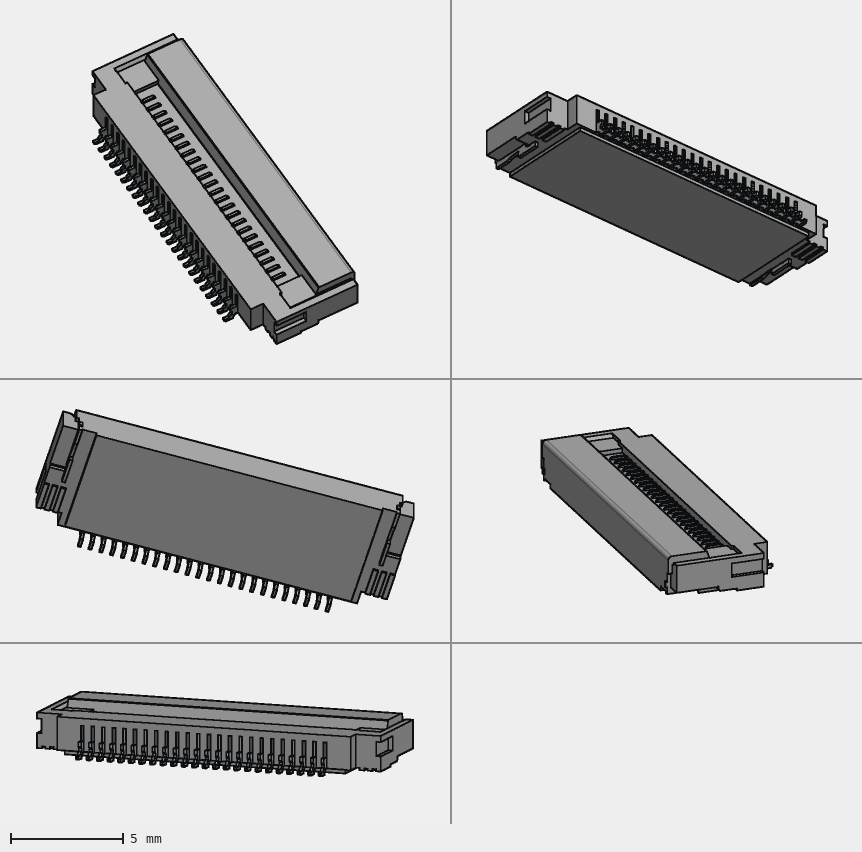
import cadquery as cq


length = 16.3
half_length = length / 2
top_z = 1.76
bottom_z = 0.25
front_y = 0.7
front_half_length = 6.96
ear_front_y = 1.34
ear_back_y = 5.51
rear_y = 5.69

plate_half_length = 6.65
plate_front_y = 0.83
plate_bottom_z = 0.05

opening_front_y = 2.36
corner_front_y = 2.27
corner_inner_x = 6.83
opening_top_half = 7.79
opening_floor_half = 7.65
block_top_z = 1.6
trough_half_length = 6.32
trough_floor_z = 1.39

recess_depth = 0.21
recess_back_y = 2.87
recess_bottom_z = 0.83
recess_top_z = 1.48
relief_front_y = 3.5
relief_top_z = 0.45
relief_bevel = 0.08
foot_width = 0.23
foot_pitch = 0.39
feet_per_ear = 3
foot_back_y = 2.6
foot_bottom_z = 0.15

flap_half_length = 7.58
flap_bottom_z = 1.17
flap_top_z = 2.0
flap_front_y = 3.86
flap_toe_y = 3.63
toe_height = 0.05
edge_break = 0.03
flap_rear_radius = 0.18

clip_inner_x = 7.3
clip_thickness = 0.15
clip_front_y = 3.63
clip_corner_radius = 0.1
clip_heel_z = 0.16
nub_back_y = 5.75
nub_bottom_z = 0.49
nub_top_z = 0.75
hollow_back_y = 4.94
hollow_bend_y = 4.65
hollow_bend_z = 0.26
hollow_top_z = 0.3
solder_foot_back_y = 4.17
solder_foot_front_y = 3.0

contact_count = 24
row_length = 11.5
contact_pitch = row_length / (contact_count - 1)
contact_width = 0.13
finger_back_y = 3.16
finger_height = 0.1
finger_bevel = 0.08
finger_crest_y = 2.56
finger_dip_y = 2.46
finger_dip = 0.05
stub_top_z = 1.43
stub_projection = 0.05
lead_top_z = 0.75
lead_shoulder_y = 0.35
lead_shoulder_z = 0.54
lead_shoulder_bevel = 0.08
lead_neck_y = 0.42
lead_inner_radius = 0.16
lead_thickness = 0.16
lead_tip_bevel = 0.08
lead_heel_y = 0.45
lead_back_y = 0.62
lead_outer_radius = 0.25


def box(x0, x1, y0, y1, z0, z1):
    """Block between two opposite corners."""
    return cq.Workplane("XY").box(x1 - x0, y1 - y0, z1 - z0, centered=False).translate((x0, y0, z0))


def centred_box(half_x, y0, y1, z0, z1):
    """Block that is symmetric about X = 0."""
    return box(-half_x, half_x, y0, y1, z0, z1)


def both_ends(solid):
    """The solid together with its mirror image at the other end."""
    return solid.union(solid.mirror("YZ"))


def extrude_side(profile, x0, width):
    """Extrude a closed YZ profile along X, starting at x0."""
    return profile.extrude(width).translate((x0, 0, 0))


def make_housing():
    """Solid housing with end ears, a rear step and an underside plate."""
    body = centred_box(half_length, ear_front_y, ear_back_y, bottom_z, top_z)
    body = body.union(centred_box(front_half_length, front_y, ear_front_y, bottom_z, top_z))
    body = body.union(centred_box(clip_inner_x, ear_back_y, rear_y, bottom_z, flap_bottom_z))
    plate = centred_box(plate_half_length, plate_front_y, rear_y, plate_bottom_z, bottom_z)
    return body.union(plate)


def make_opening():
    """Opening with leaning end walls, a stepped front edge and a deeper trough in the middle."""
    opening = (
        cq.Workplane("XZ", origin=(0, corner_front_y, 0))
        .moveTo(-opening_floor_half, block_top_z)
        .lineTo(opening_floor_half, block_top_z)
        .lineTo(opening_top_half, top_z)
        .lineTo(-opening_top_half, top_z)
        .close()
        .extrude(corner_front_y - ear_back_y)
    )
    front_step = centred_box(corner_inner_x, corner_front_y, opening_front_y, block_top_z, top_z)
    trough = centred_box(trough_half_length, opening_front_y, rear_y, trough_floor_z, block_top_z)
    return opening.cut(front_step).union(trough)


def make_ear_cuts():
    """Side recess that opens to the front, and the relief under the rear of the ear."""
    recess_inner_x = half_length - recess_depth
    recess = box(
        recess_inner_x, half_length, ear_front_y, recess_back_y, recess_bottom_z, recess_top_z
    )
    relief_profile = (
        cq.Workplane("YZ")
        .moveTo(ear_back_y, bottom_z)
        .lineTo(ear_back_y, relief_top_z)
        .lineTo(relief_front_y, relief_top_z)
        .lineTo(relief_front_y, bottom_z + relief_bevel)
        .lineTo(relief_front_y - relief_bevel, bottom_z)
        .close()
    )
    relief = extrude_side(relief_profile, clip_inner_x, half_length - clip_inner_x)
    return both_ends(recess.union(relief))


def make_feet():
    """Small feet under the front of each ear."""
    feet = cq.Workplane("XY")
    for index in range(feet_per_ear):
        outer_x = half_length - index * foot_pitch
        foot = box(outer_x - foot_width, outer_x, ear_front_y, foot_back_y, foot_bottom_z, bottom_z)
        feet = feet.add(foot)
    return both_ends(feet.combine())


def make_flap():
    """Flap with a rounded rear edge and a sloping front face."""
    profile = (
        cq.Workplane("YZ")
        .moveTo(rear_y, flap_bottom_z)
        .lineTo(rear_y, flap_top_z - flap_rear_radius)
        .radiusArc((rear_y - flap_rear_radius, flap_top_z), -flap_rear_radius)
        .lineTo(flap_front_y, flap_top_z)
        .lineTo(flap_front_y - edge_break, flap_top_z - edge_break)
        .lineTo(flap_toe_y, trough_floor_z + toe_height)
        .lineTo(flap_toe_y, flap_bottom_z)
        .close()
    )
    return extrude_side(profile, -flap_half_length, 2 * flap_half_length)


def make_clips():
    """Upright plates with a rear nub, a hollowed lower edge and a solder foot, one at each end."""
    profile = (
        cq.Workplane("YZ")
        .moveTo(rear_y, flap_bottom_z)
        .lineTo(rear_y, nub_top_z)
        .lineTo(nub_back_y, nub_top_z)
        .lineTo(nub_back_y, nub_bottom_z)
        .lineTo(rear_y, nub_bottom_z)
        .lineTo(rear_y, clip_heel_z)
        .lineTo(hollow_back_y, clip_heel_z)
        .lineTo(hollow_bend_y, hollow_bend_z)
        .lineTo(solder_foot_back_y, hollow_top_z)
        .lineTo(solder_foot_back_y, 0)
        .lineTo(solder_foot_front_y, 0)
        .lineTo(solder_foot_front_y, bottom_z)
        .lineTo(clip_front_y - clip_corner_radius, bottom_z)
        .radiusArc((clip_front_y, bottom_z + clip_corner_radius), -clip_corner_radius)
        .lineTo(clip_front_y, flap_bottom_z)
        .close()
    )
    return both_ends(extrude_side(profile, clip_inner_x, clip_thickness))


def make_contact():
    """One contact at X = 0: finger in the trough, stub on the front wall and bent lead."""
    finger_top_z = trough_floor_z + finger_height
    finger_profile = (
        cq.Workplane("YZ")
        .moveTo(opening_front_y, trough_floor_z)
        .lineTo(opening_front_y, finger_top_z - finger_dip)
        .lineTo(finger_dip_y, finger_top_z - finger_dip)
        .lineTo(finger_crest_y, finger_top_z)
        .lineTo(finger_back_y - finger_bevel, finger_top_z)
        .lineTo(finger_back_y, finger_top_z - finger_bevel)
        .lineTo(finger_back_y, trough_floor_z)
        .close()
    )
    stub = box(0, contact_width, front_y - stub_projection, front_y, lead_top_z, stub_top_z)
    lead_profile = (
        cq.Workplane("YZ")
        .moveTo(front_y, lead_top_z)
        .lineTo(lead_shoulder_y, lead_top_z)
        .lineTo(lead_shoulder_y, lead_shoulder_z)
        .lineTo(lead_neck_y, lead_shoulder_z - lead_shoulder_bevel)
        .lineTo(lead_neck_y, lead_thickness + lead_inner_radius)
        .radiusArc((lead_neck_y - lead_inner_radius, lead_thickness), -lead_inner_radius)
        .lineTo(0, lead_thickness)
        .lineTo(0, lead_tip_bevel)
        .lineTo(lead_tip_bevel, 0)
        .lineTo(lead_heel_y, 0)
        .radiusArc((lead_back_y, bottom_z), lead_outer_radius)
        .lineTo(front_y, bottom_z)
        .close()
    )
    contact = finger_profile.extrude(contact_width).union(stub).union(lead_profile.extrude(contact_width))
    return contact.translate((-contact_width / 2, 0, 0))


def make_contacts():
    """Row of equal contacts centred on the housing."""
    contact = make_contact()
    first_x = -row_length / 2
    contacts = cq.Workplane("XY")
    for index in range(contact_count):
        contacts = contacts.add(contact.translate((first_x + index * contact_pitch, 0, 0)))
    return contacts.combine()


housing = make_housing().cut(make_opening()).cut(make_ear_cuts())
result = housing.union(make_feet()).union(make_flap()).union(make_clips()).union(make_contacts())